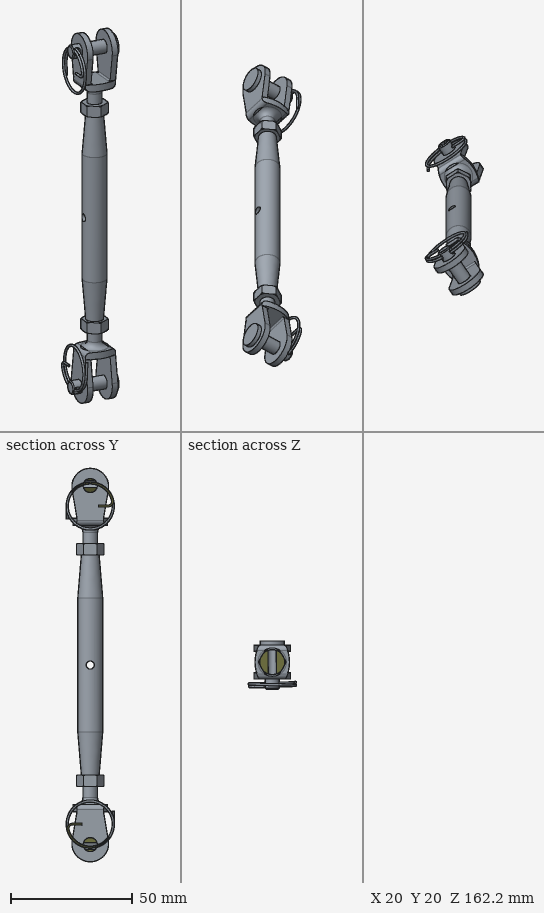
import cadquery as cq
import math

END_Z = 81.1

SLEEVE_RADIUS = 5.2
SLEEVE_END_RADIUS = 3.7
SLEEVE_STRAIGHT_HALF = 27.5
SLEEVE_HALF = 45.3
SIGHT_HOLE_DIAMETER = 3.2

NUT_ACROSS_CORNERS = 11.5
NUT_HEIGHT = 4.9
NUT_CHAMFER_HEIGHT = 0.3
NUT_CHAMFER_WIDTH = 0.5

STUD_RADIUS = 3.1
STUD_INNER_Z = SLEEVE_STRAIGHT_HALF
FORK_WIDTH_Y = 14.0
FORK_GAP = 8.8
CROWN_OUTER_Z = 57.4
CROWN_INNER_Z = 60.5
CROWN_CORNER_RADIUS = 2.1
GAP_CORNER_RADIUS = 0.6
CROWN_HALF_WIDTH = 7.1
EYE_RADIUS = 7.6
CHEEK_BASE_HALF_WIDTH = 5.5
NECK_FILLET = 2.8

PIN_RADIUS = 3.0
PIN_Z = 74.0
PIN_TIP_Y = -11.2
PIN_TIP_CHAMFER = 0.5
PIN_HEAD_RADIUS = 5.0
PIN_HEAD_THICKNESS = 1.8

WIRE_RADIUS = 0.5
RING_OUTER_DIAMETER = 20.0
RING_Z = 65.5
RING_PITCH = 1.1
RING_START_Y = -8.5
RING_START_LENGTH = 5.4
RING_TURNS_TO_LEVEL = 1.5
HOOK_RADIUS = 2.0
TAIL_LENGTH = 3.9
RING_HOLE_Y = -9.2
RING_HOLE_RADIUS = 1.6
RING_HOLE_RISE = 0.6

FORK_HALF_Y = FORK_WIDTH_Y / 2
EYE_Z = END_Z - EYE_RADIUS
RING_RADIUS = RING_OUTER_DIAMETER / 2 - WIRE_RADIUS


def cylinder_y(radius, start_y, end_y, x, z):
    """Solid cylinder along Y between two Y positions."""
    return cq.Workplane(cq.Solid.makeCylinder(
        radius, end_y - start_y, cq.Vector(x, start_y, z), cq.Vector(0, 1, 0)))


def at_both_ends(upper):
    """The upper body and its copy at the lower end."""
    return [upper.rotate((0, 0, 0), (0, 1, 0), angle).solids().val() for angle in (0, 180)]


def make_sleeve():
    half_outline = [
        (0, -SLEEVE_HALF),
        (SLEEVE_END_RADIUS, -SLEEVE_HALF),
        (SLEEVE_RADIUS, -SLEEVE_STRAIGHT_HALF),
        (SLEEVE_RADIUS, SLEEVE_STRAIGHT_HALF),
        (SLEEVE_END_RADIUS, SLEEVE_HALF),
        (0, SLEEVE_HALF),
    ]
    sleeve = cq.Workplane("XZ").polyline(half_outline).close().revolve(360, (0, 0, 0), (0, 1, 0))
    sleeve = sleeve.cut(cylinder_y(SIGHT_HOLE_DIAMETER / 2, -SLEEVE_RADIUS, SLEEVE_RADIUS, 0, 0))
    bore_depth = SLEEVE_HALF - STUD_INNER_Z
    for side in (-1, 1):
        bore = cq.Workplane("XY", origin=(0, 0, side * STUD_INNER_Z)).circle(STUD_RADIUS)
        sleeve = sleeve.cut(bore.extrude(side * bore_depth))
    return sleeve


def make_nut():
    corner_radius = NUT_ACROSS_CORNERS / 2
    base = cq.Workplane("XY", origin=(0, 0, SLEEVE_HALF))
    hexagon = base.polygon(6, 2 * corner_radius).extrude(NUT_HEIGHT)
    corner_cone = base.circle(corner_radius).extrude(NUT_HEIGHT)
    corner_cone = corner_cone.faces("<Z or >Z").edges().chamfer(NUT_CHAMFER_HEIGHT, NUT_CHAMFER_WIDTH)
    bore = base.circle(STUD_RADIUS).extrude(NUT_HEIGHT)
    return hexagon.intersect(corner_cone).cut(bore)


def make_fork_strip():
    """The U-shaped strip: bent profile along X, trimmed to the cheek and crown outlines."""
    bend = (
        cq.Workplane("XY", origin=(0, 0, CROWN_OUTER_Z))
        .rect(2 * EYE_RADIUS, FORK_WIDTH_Y)
        .extrude(END_Z - CROWN_OUTER_Z)
        .edges("|X and <Z")
        .fillet(CROWN_CORNER_RADIUS)
    )
    gap = (
        cq.Workplane("XY", origin=(0, 0, CROWN_INNER_Z))
        .rect(2 * EYE_RADIUS, FORK_GAP)
        .extrude(END_Z - CROWN_INNER_Z)
        .edges("|X and <Z")
        .fillet(GAP_CORNER_RADIUS)
    )

    crown = (
        cq.Workplane("XY", origin=(0, 0, CROWN_OUTER_Z))
        .moveTo(-CHEEK_BASE_HALF_WIDTH, -FORK_HALF_Y)
        .lineTo(CHEEK_BASE_HALF_WIDTH, -FORK_HALF_Y)
        .threePointArc((CROWN_HALF_WIDTH, 0), (CHEEK_BASE_HALF_WIDTH, FORK_HALF_Y))
        .lineTo(-CHEEK_BASE_HALF_WIDTH, FORK_HALF_Y)
        .threePointArc((-CROWN_HALF_WIDTH, 0), (-CHEEK_BASE_HALF_WIDTH, -FORK_HALF_Y))
        .close()
        .extrude(CROWN_INNER_Z - CROWN_OUTER_Z)
    )

    base_drop = EYE_Z - CROWN_INNER_Z
    base_distance = math.hypot(CHEEK_BASE_HALF_WIDTH, base_drop)
    tangent_angle = math.atan2(-base_drop, CHEEK_BASE_HALF_WIDTH) + math.acos(EYE_RADIUS / base_distance)
    tangent_x = EYE_RADIUS * math.cos(tangent_angle)
    tangent_z = EYE_Z + EYE_RADIUS * math.sin(tangent_angle)
    cheeks = (
        cq.Workplane("XZ", origin=(0, FORK_HALF_Y, 0))
        .moveTo(-CHEEK_BASE_HALF_WIDTH, CROWN_INNER_Z)
        .lineTo(CHEEK_BASE_HALF_WIDTH, CROWN_INNER_Z)
        .lineTo(tangent_x, tangent_z)
        .threePointArc((0, END_Z), (-tangent_x, tangent_z))
        .close()
        .extrude(FORK_WIDTH_Y)
    )
    return bend.intersect(crown.union(cheeks)).cut(gap)


def make_stud():
    """Stud with a concave flare where it meets the crown."""
    flare_start_z = CROWN_OUTER_Z - NECK_FILLET
    flare_radius = STUD_RADIUS + NECK_FILLET
    arc_offset = NECK_FILLET * math.sqrt(0.5)
    return (
        cq.Workplane("XZ")
        .moveTo(0, STUD_INNER_Z)
        .lineTo(STUD_RADIUS, STUD_INNER_Z)
        .lineTo(STUD_RADIUS, flare_start_z)
        .threePointArc(
            (flare_radius - arc_offset, flare_start_z + arc_offset), (flare_radius, CROWN_OUTER_Z))
        .lineTo(0, CROWN_OUTER_Z)
        .close()
        .revolve(360, (0, 0, 0), (0, 1, 0))
    )


def make_fork():
    pin_hole = cylinder_y(PIN_RADIUS, -FORK_HALF_Y, FORK_HALF_Y, 0, PIN_Z)
    return make_fork_strip().union(make_stud()).cut(pin_hole)


def make_pin():
    shank = cylinder_y(PIN_RADIUS, PIN_TIP_Y, FORK_HALF_Y, 0, PIN_Z)
    shank = shank.faces("<Y").chamfer(PIN_TIP_CHAMFER)
    head = cylinder_y(PIN_HEAD_RADIUS, FORK_HALF_Y, FORK_HALF_Y + PIN_HEAD_THICKNESS, 0, PIN_Z)
    ring_hole = (
        cq.Workplane("YZ", origin=(0, RING_HOLE_Y, PIN_Z + RING_HOLE_RISE))
        .circle(RING_HOLE_RADIUS)
        .extrude(PIN_RADIUS, both=True)
    )
    return shank.union(head).cut(ring_hole)


def make_ring():
    """Wire swept along bar, coil, hook and tail; coiled about Z, then turned to face -Y."""
    hook_angle = math.asin(HOOK_RADIUS / (RING_RADIUS - HOOK_RADIUS))
    turns = RING_TURNS_TO_LEVEL - hook_angle / (2 * math.pi)
    rise = RING_PITCH * turns
    slope = RING_PITCH / (2 * math.pi * RING_RADIUS)

    coil = cq.Wire.makeHelix(RING_PITCH, rise, RING_RADIUS, lefthand=True)
    coil = coil.rotate(cq.Vector(0, 0, 0), cq.Vector(0, 0, 1), 180)

    coil_start = cq.Vector(-RING_RADIUS, 0, 0)
    start_direction = cq.Vector(0, 1, slope).normalized()
    bar_start = coil_start - start_direction * RING_START_LENGTH
    bar = cq.Edge.makeLine(bar_start, coil_start)

    inward = cq.Vector(-math.cos(hook_angle), -math.sin(hook_angle), 0)
    forward = cq.Vector(math.sin(hook_angle), -math.cos(hook_angle), slope).normalized()
    coil_end = inward * -RING_RADIUS + cq.Vector(0, 0, rise)
    hook_centre = coil_end + inward * HOOK_RADIUS

    def hook_point(turned):
        return hook_centre + (forward * math.sin(turned) - inward * math.cos(turned)) * HOOK_RADIUS

    hook_turn = math.pi / 2 + hook_angle
    hook_end = hook_point(hook_turn)
    hook = cq.Edge.makeThreePointArc(coil_end, hook_point(hook_turn / 2), hook_end)
    tail_direction = forward * math.cos(hook_turn) + inward * math.sin(hook_turn)
    tail = cq.Edge.makeLine(hook_end, hook_end + tail_direction * TAIL_LENGTH)

    path = cq.Wire.assembleEdges([bar, *coil.Edges(), hook, tail])
    section = cq.Workplane(cq.Plane(origin=bar_start, xDir=(1, 0, 0), normal=start_direction))
    wire = section.circle(WIRE_RADIUS).sweep(cq.Workplane(path), isFrenet=False)
    return wire.rotate((0, 0, 0), (1, 0, 0), 90).translate((0, RING_START_Y, RING_Z))


sleeve = make_sleeve()
nuts = at_both_ends(make_nut())
forks = at_both_ends(make_fork())
pins = at_both_ends(make_pin())
rings = at_both_ends(make_ring())

result = cq.Compound.makeCompound([sleeve.solids().val(), *nuts, *forks, *pins, *rings])